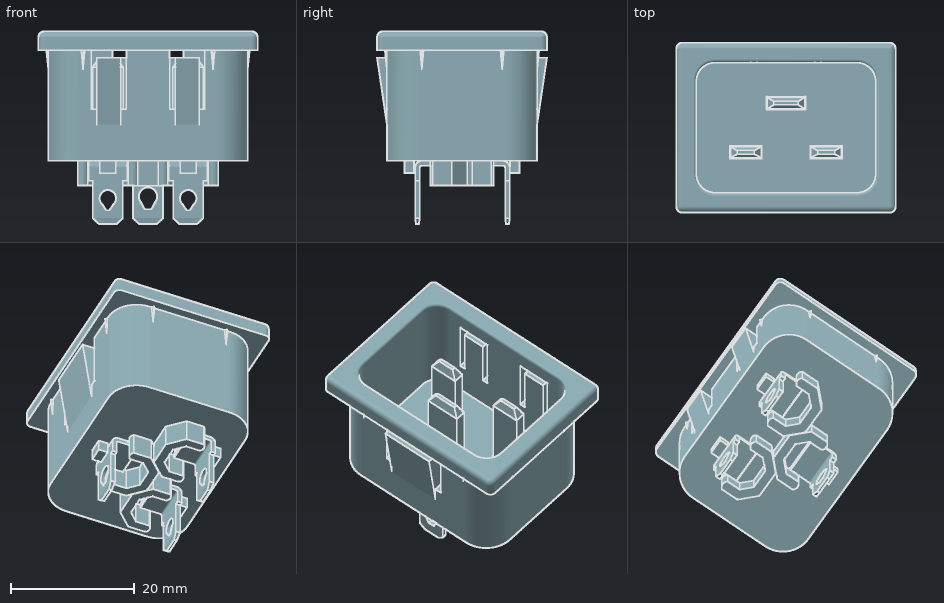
import cadquery as cq
import math


flange_length = 35.5
flange_width = 27.5
flange_thickness = 3.1
flange_rounding = 1.0
housing_height = 20.98
flange_underside = housing_height - flange_thickness
shell_length = 32.27
shell_width = 24.3
shell_corner_radius = 5.0
cavity_length = 29.0
cavity_width = 21.0
cavity_corner_radius = 3.0
mouth_rounding = 0.55
floor_thickness = 2.55

snap_top = 16.72
snap_bottom = 5.85
window_bottom = 8.38
front_snap_offset = 6.35
front_snap_width = 3.87
front_window_width = 5.7
rear_snap_width = 9.23
rear_window_width = 11.43

crush_rib_half_width = 0.3
crush_rib_depth = 0.32
crush_rib_length = 3.1
crush_rib_x = 10.5
crush_rib_y = 6.5

contact_x = 6.5
contact_y = 3.98

shield_depth = 3.98
shield_half_width = 4.85
shield_wall = 1.6
shield_chamfer = 2.55
shield_back = 0.9
shield_wall_end = 4.72
shield_bulge = 0.4

stop_width = 2.55
stop_height = 2.0
stop_near = 7.75
stop_far = 9.35

blade_thickness = 1.85
line_blade_width = 4.95
earth_blade_width = 6.07
line_blade_shoulder = 15.12
earth_blade_shoulder = 18.18
blade_slot_clearance = 0.1
blade_tip_height = 1.5
blade_tip_thickness = 0.57
blade_tip_inset = 1.05

terminal_thickness = 0.78
terminal_bend_radius = 0.3
terminal_shoulder_width = 6.2
terminal_tab_width = 4.9
terminal_shoulder_depth = 3.2
terminal_tip_start = 9.25
terminal_tip_end = 10.22
terminal_tip_inset = 1.03
terminal_tip_thickness = 0.5
line_terminal_face = 7.6
earth_terminal_face = stop_near

line_hole_radius = 1.3
line_hole_depth = 6.05
line_hole_throat = 0.45
line_hole_tail = 1.9
line_hole_tail_width = 0.55
earth_hole_radius = 1.45
earth_hole_depth = 5.75
earth_hole_throat = 0.57
earth_hole_tail = 2.05
earth_hole_tail_width = 1.03


def rounded_block(length, width, height, radius, base):
    """Box standing on Z = base, with rounded vertical edges."""
    block = cq.Workplane("XY").workplane(offset=base).rect(length, width).extrude(height)
    return block.edges("|Z").fillet(radius)


def box_between(x_centre, x_size, y_low, y_high, z_low, z_high):
    """Box given by its X centre and size and its Y and Z limits."""
    box = cq.Workplane("XY").box(x_size, y_high - y_low, z_high - z_low, centered=(True, False, False))
    return box.translate((x_centre, y_low, z_low))


def tapered_tip(length, width, tip_length, tip_width, height):
    """Four-sided taper rising from a rectangle on Z = 0 to a smaller rectangle."""
    base = cq.Workplane("XY").rect(length, width)
    return base.workplane(offset=height).rect(tip_length, tip_width).loft(ruled=True)


def turn_to_rear(body):
    """Half turn about Z, from the -Y side to the +Y side."""
    return body.rotate((0, 0, 0), (0, 0, 1), 180)


def shell():
    flange = rounded_block(flange_length, flange_width, flange_thickness, flange_rounding, flange_underside)
    flange = flange.faces(">Z").edges().fillet(flange_rounding)
    tub = rounded_block(shell_length, shell_width, flange_underside, shell_corner_radius, 0)
    cavity = rounded_block(
        cavity_length, cavity_width, housing_height - floor_thickness, cavity_corner_radius, floor_thickness
    )
    body = flange.union(tub).cut(cavity)
    mouth = cq.selectors.BoxSelector(
        (-shell_length / 2, -shell_width / 2, housing_height - mouth_rounding),
        (shell_length / 2, shell_width / 2, housing_height + mouth_rounding),
    )
    return body.edges(mouth).fillet(mouth_rounding)


def snap_window(x_centre, width):
    """Opening through the -Y wall, up to the flange."""
    return box_between(x_centre, width, -shell_width / 2, -cavity_width / 2, window_bottom, flange_underside)


def snap(x_centre, width):
    """Latch on the -Y wall: a wedge whose outer face leans out to the edge of the flange."""
    profile = [
        (-cavity_width / 2, snap_bottom),
        (-shell_width / 2, snap_bottom),
        (-flange_width / 2, snap_top),
        (-cavity_width / 2, snap_top),
    ]
    wedge = cq.Workplane("YZ").polyline(profile).close().extrude(width / 2, both=True)
    return wedge.translate((x_centre, 0, 0))


def crush_rib(wall_distance, offset, turn):
    """Pointed rib: a triangle under the flange that runs down to a point on the wall.

    The rib is made on a wall facing -Y, at an X offset, and then turned about Z to its wall.
    """
    left = (-crush_rib_half_width, 0, 0)
    right = (crush_rib_half_width, 0, 0)
    ridge = (0, -crush_rib_depth, 0)
    point = (0, 0, -crush_rib_length)
    triangles = [(left, right, ridge), (left, right, point), (left, ridge, point), (right, ridge, point)]
    faces = [cq.Face.makeFromWires(cq.Wire.makePolygon(corners, close=True)) for corners in triangles]
    rib = cq.Workplane(cq.Solid.makeSolid(cq.Shell.makeShell(faces)))
    rib = rib.translate((offset, -wall_distance, flange_underside))
    return rib.rotate((0, 0, 0), (0, 0, 1), turn)


def crush_ribs():
    """Two ribs on each of the four walls."""
    ribs = []
    for side in (-1, 1):
        for turn in (0, 180):
            ribs.append(crush_rib(shell_width / 2, side * crush_rib_x, turn))
        for turn in (90, 270):
            ribs.append(crush_rib(shell_length / 2, side * crush_rib_y, turn))
    return ribs


def shield_outer():
    """Solid outline of one shield, open side toward -Y, centred on X = 0."""
    wall_inside = shield_half_width - shield_wall
    wall_middle = shield_half_width - shield_wall / 2
    shoulder = shield_back - shield_chamfer
    bulge_end = -shield_wall_end - shield_bulge
    outline = (
        cq.Workplane("XY")
        .moveTo(-shield_half_width, -shield_wall_end)
        .threePointArc((-wall_middle, bulge_end), (-wall_inside, -shield_wall_end))
        .lineTo(wall_inside, -shield_wall_end)
        .threePointArc((wall_middle, bulge_end), (shield_half_width, -shield_wall_end))
        .lineTo(shield_half_width, shoulder)
        .lineTo(shield_half_width - shield_chamfer, shield_back)
        .lineTo(-shield_half_width + shield_chamfer, shield_back)
        .lineTo(-shield_half_width, shoulder)
        .close()
    )
    return outline.extrude(-shield_depth)


def shield_recess():
    """Pocket of one shield: the outline moved in by the wall thickness, open toward -Y."""
    half_width = shield_half_width - shield_wall
    back = shield_back - shield_wall
    chamfer = shield_chamfer - shield_wall * (2 - math.sqrt(2))
    outline = [
        (-half_width, -shield_wall_end),
        (half_width, -shield_wall_end),
        (half_width, back - chamfer),
        (half_width - chamfer, back),
        (-half_width + chamfer, back),
        (-half_width, back - chamfer),
    ]
    return cq.Workplane("XY").polyline(outline).close().extrude(-shield_depth)


def terminal_stop():
    """Block under the floor that backs the terminal on its outer face."""
    return box_between(0, stop_width, -stop_far, -stop_near, -stop_height, 0)


def at_contacts(body):
    """Copies of a -Y side body at the two line contacts and the earth contact."""
    return [body.translate((-contact_x, 0, 0)), body.translate((contact_x, 0, 0)), turn_to_rear(body)]


def blade(x, y, width, shoulder):
    """Blade from the floor underside up to a tapered tip."""
    shank = box_between(x, width, y - blade_thickness / 2, y + blade_thickness / 2, 0, shoulder)
    tip_width = width - 2 * blade_tip_inset
    tip = tapered_tip(width, blade_thickness, tip_width, blade_tip_thickness, blade_tip_height)
    return shank.union(tip.translate((x, y, shoulder)))


def blade_slot(x, y, width):
    """Slot through the floor, slightly larger than the blade."""
    half_slot = blade_thickness / 2 + blade_slot_clearance
    slot_width = width + 2 * blade_slot_clearance
    return box_between(x, slot_width, y - half_slot, y + half_slot, 0, floor_thickness)


def wire_hole(radius, depth, throat, tail, tail_width):
    """Teardrop hole along Y: a circle whose sides run together below it.

    depth is the circle centre below the floor; throat and tail are the drops from that
    centre to the start of the straight sides and to the bottom.
    """
    throat_half = math.sqrt(radius**2 - throat**2)
    sides = [
        (-throat_half, -depth - throat),
        (throat_half, -depth - throat),
        (tail_width / 2, -depth - tail),
        (-tail_width / 2, -depth - tail),
    ]
    reach = flange_width / 2
    circle = cq.Workplane("XZ").center(0, -depth).circle(radius).extrude(reach)
    return circle.union(cq.Workplane("XZ").polyline(sides).close().extrude(reach))


def terminal(outer_face, hole):
    """Bent solder terminal on the -Y side, centred on X = 0."""
    inner_face = outer_face - terminal_thickness
    plate_end = contact_y - blade_thickness / 2
    profile = [
        (-plate_end, 0),
        (-outer_face, 0),
        (-outer_face, -terminal_shoulder_depth),
        (-inner_face, -terminal_shoulder_depth),
        (-inner_face, -terminal_thickness),
        (-plate_end, -terminal_thickness),
    ]
    strip = cq.Workplane("YZ").polyline(profile).close().extrude(terminal_shoulder_width / 2, both=True)
    inner_bend = cq.selectors.NearestToPointSelector((0, -inner_face, -terminal_thickness))
    outer_bend = cq.selectors.NearestToPointSelector((0, -outer_face, 0))
    strip = strip.edges(inner_bend).fillet(terminal_bend_radius)
    strip = strip.edges(outer_bend).fillet(terminal_bend_radius + terminal_thickness)
    tab = box_between(
        0, terminal_tab_width, -outer_face, -inner_face, -terminal_tip_start, -terminal_shoulder_depth
    )
    tip = tapered_tip(
        terminal_tab_width,
        terminal_thickness,
        terminal_tab_width - 2 * terminal_tip_inset,
        terminal_tip_thickness,
        terminal_tip_end - terminal_tip_start,
    )
    tip = tip.rotate((0, 0, 0), (1, 0, 0), 180)
    tip = tip.translate((0, -(outer_face + inner_face) / 2, -terminal_tip_start))
    return strip.union(tab).union(tip).cut(hole)


def housing():
    body = shell()
    rear_window = turn_to_rear(snap_window(0, rear_window_width))
    rear_snap = turn_to_rear(snap(0, rear_snap_width))
    body = body.cut(rear_window).union(rear_snap)
    for x in (-front_snap_offset, front_snap_offset):
        body = body.cut(snap_window(x, front_window_width)).union(snap(x, front_snap_width))
    for solid in crush_ribs() + at_contacts(shield_outer()) + at_contacts(terminal_stop()):
        body = body.union(solid)
    for recess in at_contacts(shield_recess()):
        body = body.cut(recess)
    for x in (-contact_x, contact_x):
        body = body.cut(blade_slot(x, -contact_y, line_blade_width))
    return body.cut(blade_slot(0, contact_y, earth_blade_width))


housing_body = housing()

line_blades = [
    blade(x, -contact_y, line_blade_width, line_blade_shoulder)
    for x in (-contact_x, contact_x)
]
earth_blade = blade(0, contact_y, earth_blade_width, earth_blade_shoulder)

line_hole = wire_hole(
    line_hole_radius, line_hole_depth, line_hole_throat, line_hole_tail, line_hole_tail_width
)
earth_hole = wire_hole(
    earth_hole_radius, earth_hole_depth, earth_hole_throat, earth_hole_tail, earth_hole_tail_width
)
line_terminals = [
    terminal(line_terminal_face, line_hole).translate((x, 0, 0)) for x in (-contact_x, contact_x)
]
earth_terminal = turn_to_rear(terminal(earth_terminal_face, earth_hole))

result = cq.Compound.makeCompound([
    housing_body.val(),
    *[body.val() for body in line_blades],
    earth_blade.val(),
    *[body.val() for body in line_terminals],
    earth_terminal.val(),
])